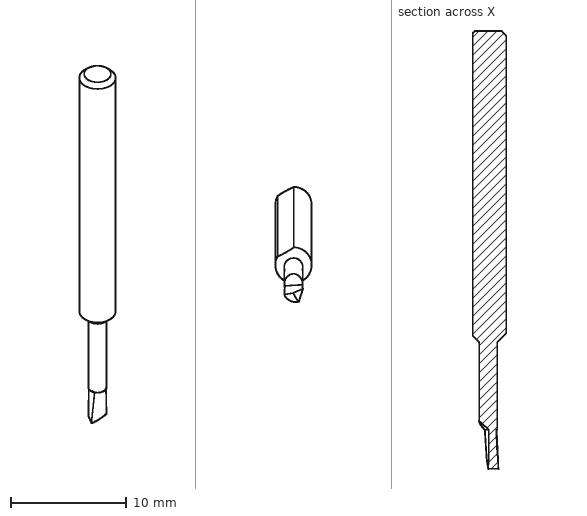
import cadquery as cq
import math

length = 38.1
shank_radius = 1.58
flat_offset = 1.353
end_chamfer = 0.42
neck_radius = 0.8
shank_start = 11.9
neck_end = shank_start - (shank_radius - neck_radius)

head_top = 3.5
head_top_radius = 0.75
head_radius = 0.9
top_rake_left_y = -0.4
top_rake_right_y = 0.3
top_relief_x = 0.2
top_relief_bulge = 0.7
tip_rake_left_y = -0.08
tip_rake_right_y = 0.08
tip_relief_x = -0.05
tip_relief_bulge = 0.7

corner_break = 0.1
tip_rise = 0.1
nose_x = 0.05
nose_bevel_top = 0.9

margin = 3.8


def circle_x(radius, y):
    return math.sqrt(radius**2 - y**2)


def make_shank():
    """Round shank with a full-length flat, a chamfered end and a 45 degree taper."""
    profile = [
        (0, neck_end),
        (neck_radius, neck_end),
        (shank_radius, shank_start),
        (shank_radius, length - end_chamfer),
        (shank_radius - end_chamfer, length),
        (0, length),
    ]
    shank = cq.Workplane("XZ").polyline(profile).close().revolve(360, (0, 0), (0, 1))
    beyond_flat = cq.Workplane("XY").box(
        2 * margin, margin, length, centered=(True, False, False)
    )
    return shank.cut(beyond_flat.translate((0, flat_offset, 0)))


def make_neck():
    """Slender neck, bevelled at 45 degrees upwards from the top of the rake face."""
    left_x = -circle_x(neck_radius, top_rake_left_y)
    right_x = circle_x(neck_radius, top_rake_right_y)
    rake_direction = cq.Vector(right_x - left_x, top_rake_right_y - top_rake_left_y, 0)
    bevel_plane = cq.Plane(
        origin=(left_x, top_rake_left_y, head_top),
        xDir=(-rake_direction.y, rake_direction.x, 0),
        normal=rake_direction,
    )
    bevel = (
        cq.Workplane(bevel_plane)
        .polyline([(0, 0), (margin, 0), (margin, margin)])
        .close()
        .extrude(margin, both=True)
    )
    neck = cq.Workplane("XY").workplane(offset=head_top).circle(neck_radius)
    return neck.extrude(neck_end - head_top).cut(bevel)


def head_section(z, radius, left_y, right_y, relief_x, relief_bulge):
    """Section bounded by the rake line, an outer arc and a flatter relief arc."""
    left = (-circle_x(radius, left_y), left_y)
    right = (circle_x(radius, right_y), right_y)
    heel = (relief_x, -circle_x(radius, relief_x))
    outer_middle = (radius * math.sqrt(0.5), -radius * math.sqrt(0.5))
    relief_angle = (math.atan2(left[1], left[0]) + math.atan2(heel[1], heel[0])) / 2
    relief_middle = (
        relief_bulge * math.cos(relief_angle),
        relief_bulge * math.sin(relief_angle),
    )
    section = (
        cq.Workplane("XY")
        .workplane(offset=z)
        .moveTo(*left)
        .lineTo(*right)
        .threePointArc(outer_middle, heel)
        .threePointArc(relief_middle, left)
        .close()
    )
    return section.val()


def make_head():
    """Twisted cutting head with a corner break and a bevelled nose."""
    top = head_section(
        head_top, head_top_radius, top_rake_left_y, top_rake_right_y,
        top_relief_x, top_relief_bulge,
    )
    tip = head_section(
        0, head_radius, tip_rake_left_y, tip_rake_right_y,
        tip_relief_x, tip_relief_bulge,
    )
    head = cq.Workplane(cq.Solid.makeLoft([tip, top], True))
    end_profile = [
        (-head_radius, corner_break),
        (-head_radius + corner_break, 0),
        (nose_x, tip_rise),
        (head_radius, nose_bevel_top),
        (head_radius, head_top),
        (-head_radius, head_top),
    ]
    envelope = cq.Workplane("XZ").polyline(end_profile).close().extrude(margin, both=True)
    return head.intersect(envelope)


result = make_shank().union(make_neck()).union(make_head())